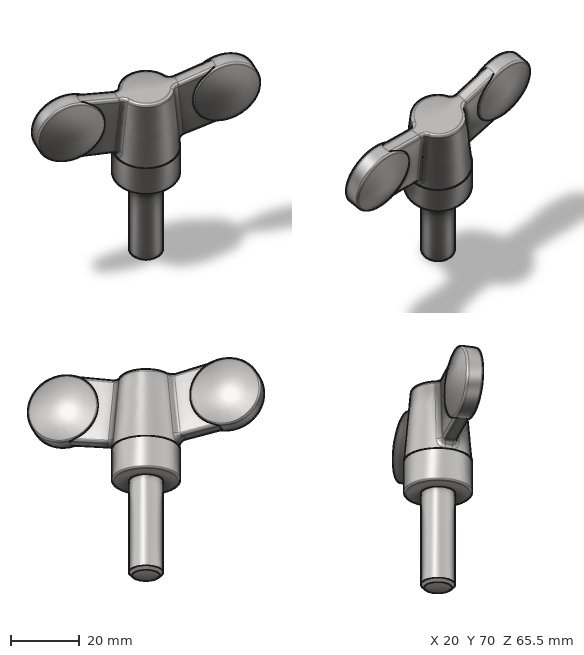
import cadquery as cq
import math

stud_diameter = 10.0
stud_chamfer = 1.0

hub_diameter = 20.0
hub_bottom = 29.95
collar_height = 10.1
hub_height = 32.55
cone_base_diameter = 19.7
cone_top_diameter = 15.9
collar_fillet = 0.6

overall_span = 70.0
overall_height = 65.5
grip_radius = 10.65
rim_thickness = 4.9
grip_thickness = 8.95
rim_fillet = 0.8

arm_thickness = 4.5
arm_top_slope = 12.0
arm_bottom_slope = 9.6
arm_shoulder = 9.4
arm_inset = 0.035
edge_fillet = 1.0
root_fillet = 2.0

tolerance = 0.01

hub_top = hub_bottom + hub_height
collar_top = hub_bottom + collar_height
grip_y = overall_span / 2 - grip_radius
grip_z = overall_height - grip_radius


def make_stud():
    stud = cq.Workplane("XY").circle(stud_diameter / 2).extrude(hub_bottom)
    return stud.faces("<Z").chamfer(stud_chamfer)


def make_collar():
    base = cq.Workplane("XY").workplane(offset=hub_bottom)
    collar = base.circle(hub_diameter / 2).extrude(collar_height)
    return collar.faces("<Z").edges().fillet(collar_fillet)


def make_cone():
    return (
        cq.Workplane("XZ")
        .moveTo(0, collar_top)
        .lineTo(cone_base_diameter / 2, collar_top)
        .lineTo(cone_top_diameter / 2, hub_top)
        .lineTo(0, hub_top)
        .close()
        .revolve(360, (0, 0), (0, 1))
    )


def make_arm(side):
    """Plate from the hub axis to the grip, its long edges ending just inside the grip rim."""
    tangent_radius = grip_radius - arm_inset
    top_angle = math.radians(arm_top_slope)
    bottom_angle = math.radians(arm_bottom_slope)
    top_y = grip_y - tangent_radius * math.sin(top_angle)
    top_z = grip_z + tangent_radius * math.cos(top_angle)
    bottom_y = grip_y - tangent_radius * math.sin(bottom_angle)
    bottom_z = grip_z - tangent_radius * math.cos(bottom_angle)
    axis_z = bottom_z - bottom_y * math.tan(bottom_angle)
    arm = (
        cq.Workplane("YZ")
        .moveTo(0, hub_top)
        .lineTo(side * arm_shoulder, hub_top)
        .lineTo(side * top_y, top_z)
        .lineTo(side * grip_y, grip_z)
        .lineTo(side * bottom_y, bottom_z)
        .lineTo(0, axis_z)
        .close()
        .extrude(arm_thickness / 2, both=True)
    )
    return arm.faces("<Z").edges("not |X").fillet(edge_fillet)


def dome_point(side):
    """Point halfway out on the spherical dome."""
    rise = (grip_thickness - rim_thickness) / 2
    dome_radius = (grip_radius**2 + rise**2) / (2 * rise)
    radius = grip_radius / 2
    drop = dome_radius - math.sqrt(dome_radius**2 - radius**2)
    return (side * (grip_thickness / 2 - drop), radius)


def make_grip(side):
    """Disc with a domed face on each side, revolved about its own X axis."""
    grip = (
        cq.Workplane("XY")
        .moveTo(-grip_thickness / 2, 0)
        .lineTo(grip_thickness / 2, 0)
        .threePointArc(dome_point(1), (rim_thickness / 2, grip_radius))
        .lineTo(-rim_thickness / 2, grip_radius)
        .threePointArc(dome_point(-1), (-grip_thickness / 2, 0))
        .close()
        .revolve(360, (0, 0), (1, 0))
    )
    rim_edges = cq.selectors.RadiusNthSelector(0)
    return grip.edges(rim_edges).fillet(rim_fillet).translate((0, side * grip_y, grip_z))


def is_root_edge(edge):
    """True for the edges where an arm leaves the cone."""
    box = edge.BoundingBox()
    y_far = max(abs(box.ymin), abs(box.ymax))
    within_arm = max(abs(box.xmin), abs(box.xmax)) < arm_thickness / 2 + tolerance
    above_collar = box.zmin > collar_top + tolerance
    level = box.zlen < tolerance
    return within_arm and above_collar and not level and y_far < hub_diameter / 2


def is_top_edge(edge):
    """True for the upper outline of the cone and arms, without the lines across the arms."""
    box = edge.BoundingBox()
    on_upper_side = box.zmin > hub_top - tolerance
    crosses_arm = edge.geomType() == "LINE" and box.ylen < tolerance
    return on_upper_side and not crosses_arm


body = make_cone().union(make_arm(1)).union(make_arm(-1))
root_edges = [edge for edge in body.edges().vals() if is_root_edge(edge)]
body = body.newObject(root_edges).fillet(root_fillet)
top_edges = [edge for edge in body.edges().vals() if is_top_edge(edge)]
body = body.newObject(top_edges).fillet(edge_fillet)

result = body.union(make_collar()).union(make_stud()).union(make_grip(1)).union(make_grip(-1))